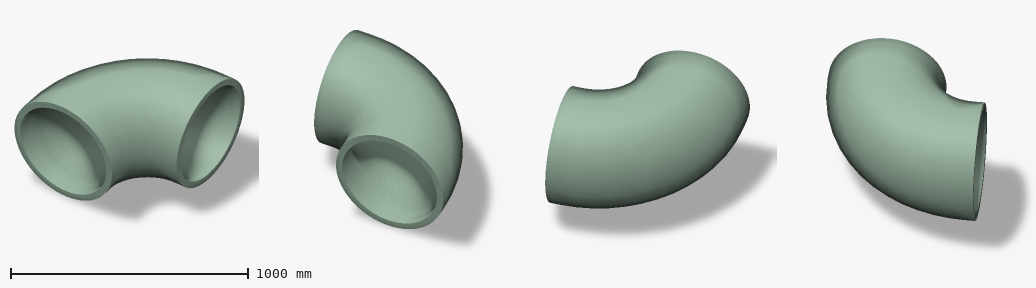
import cadquery as cq

overall_length = 695.0
outer_diameter = 500.5
wall_thickness = 30.0
collar_length = 45.0
bend_angle = 90.0

outer_radius = outer_diameter / 2
inner_radius = outer_radius - wall_thickness
bend_radius = overall_length - collar_length - outer_radius


def straight_pipe(end_plane):
    """Straight collar extruded along the normal of its end plane."""
    return (
        cq.Workplane(end_plane)
        .circle(outer_radius)
        .circle(inner_radius)
        .extrude(collar_length)
    )


bend = (
    cq.Workplane("XZ")
    .center(-bend_radius, 0)
    .circle(outer_radius)
    .circle(inner_radius)
    .revolve(bend_angle, (bend_radius, 0, 0), (bend_radius, -1, 0))
)

front_collar = straight_pipe(cq.Plane(origin=(-bend_radius, 0, 0), xDir=(1, 0, 0), normal=(0, -1, 0)))
side_collar = straight_pipe(cq.Plane(origin=(0, bend_radius, 0), xDir=(0, 1, 0), normal=(1, 0, 0)))

result = bend.union(front_collar).union(side_collar)